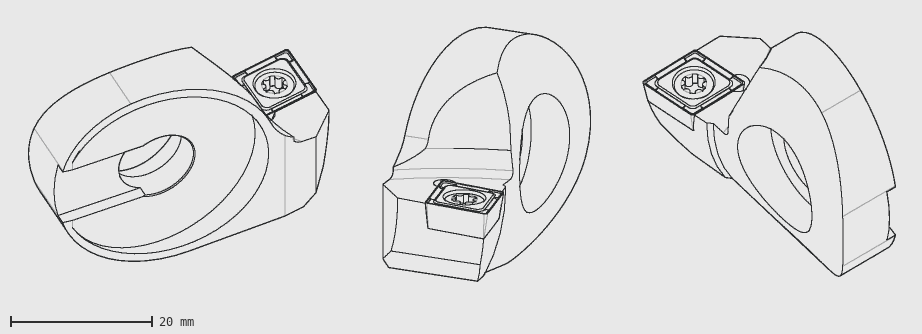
import cadquery as cq
import math


HUB_DIAMETER = 33.1
HUB_R = HUB_DIAMETER / 2
TURN_R = 21.0
TURN_Y = 5.35
BLEND_R = 14.95
FLANK_ANGLE = 11.8
NOSE_CUT_Y = 24.55
NECK_R = 6.75
NECK_START_ANGLE = 20.0

FACE_R = 30.0
STEP_Y = 14.07
STEP_WIDTH = 0.65
STEP_HEIGHT = 0.67
HEAD_SKEW = 10.0
BACK_X = 12.25
BACK_TILT = 8.8
HEAD_BACK_X = 14.95
BACK_CHAMFER_X = 4.15
BACK_CHAMFER_Y = 4.0
STOCK = 33.7

BORE_R = 5.48
BORE_CHAMFER = 0.15
COUNTERBORE_R = 8.5
COUNTERBORE_FLOOR_X = 6.0
RECESS_DIAMETER = 30.15
RECESS_FLOOR_X = 10.15
SLOT_WIDTH = 10.1
SLOT_FLOOR_X = 8.4

SEAT_TILT = 2.0
GULLET_WALL = [(-4.2, 9.55), (7.15, 13.7), (18.95, 22.4)]
GULLET_WALL_HEIGHT = 4.05
GULLET_LEAN = 21.8
GULLET_FILLET = 1.0

INSERT_IC = 9.52
INSERT_X = 2.53
INSERT_Y = 21.75
INSERT_TOP = 0.13
INSERT_THICKNESS = 3.95
INSERT_RELIEF = 7.0
CORNER_R = 0.4
CORNER_BOTTOM_R = 0.05
LAND = 0.15
GROOVE_DEPTH = 0.15
PLATEAU_FOOT = 0.93
PLATEAU_TOP = 1.2
PLATEAU_CORNER_R = 0.85
SCOOP_R = 0.4
SCOOP_OFFSET = 0.55
SCOOP_LENGTH = 5.2
CORNER_RELIEF_R = 1.6
CORNER_RELIEF_BOTTOM_R = 0.25
CORNER_RELIEF_X = 7.4
CORNER_RELIEF_Y = 17.75

SEAT_TOP_R = 3.05
SEAT_HALF_ANGLE = 30.0
SCREW_HEAD_R = 2.8
SCREW_CROWN = 0.2
SHANK_R = 1.75
SHANK_BELOW_INSERT = 3.8
SOCKET_R = 1.8
SOCKET_DEPTH = 1.7
LOBE_COUNT = 6
LOBE_R = 0.55
LOBE_START_ANGLE = 16.0

tan_skew = math.tan(math.radians(HEAD_SKEW))
insert_bottom = INSERT_TOP - INSERT_THICKNESS
flank_inset = INSERT_THICKNESS * math.tan(math.radians(INSERT_RELIEF))
seat_slope = math.tan(math.radians(SEAT_HALF_ANGLE))
screw_rim_z = INSERT_TOP - (SEAT_TOP_R - SCREW_HEAD_R) / seat_slope
seat_neck_z = INSERT_TOP - (SEAT_TOP_R - SHANK_R) / seat_slope


def to_seat(body):
    """Tilt a body from the level seat frame into its place in the part."""
    return body.rotate((0, 0, 0), (0, 1, 0), -SEAT_TILT)


def point_from(centre, radius, angle):
    return (centre[0] + radius * math.cos(angle), centre[1] + radius * math.sin(angle))


def mirror_z(point):
    return (point[0], -point[1])


def holder_outline():
    """Side outline in (Y, Z), extruded along X."""
    hub = (0.0, 0.0)
    turn = (TURN_Y, 0.0)

    hub_gap = HUB_R - BLEND_R
    turn_gap = TURN_R - BLEND_R
    blend_y = (hub_gap**2 - turn_gap**2 + TURN_Y**2) / (2 * TURN_Y)
    blend = (blend_y, math.sqrt(hub_gap**2 - blend_y**2))
    blend_angle = math.atan2(blend[1], blend[0])
    turn_angle = math.atan2(blend[1], blend[0] - TURN_Y)
    hub_end = point_from(hub, HUB_R, blend_angle)
    blend_mid = point_from(blend, BLEND_R, (blend_angle + turn_angle) / 2)
    turn_end = point_from(turn, TURN_R, turn_angle)

    neck_angle = math.radians(NECK_START_ANGLE)
    neck = point_from(hub, HUB_R + NECK_R, neck_angle)
    neck_start = point_from(hub, HUB_R, neck_angle)
    neck_mid = point_from(neck, NECK_R, (neck_angle + 2.5 * math.pi) / 2)
    neck_end = (neck[0], neck[1] - NECK_R)
    hub_top = point_from(hub, HUB_R, (neck_angle + blend_angle) / 2)

    nose_top_angle = math.asin(neck_end[1] / TURN_R)
    nose_cut_angle = -math.acos((NOSE_CUT_Y - TURN_Y) / TURN_R)
    nose_top = point_from(turn, TURN_R, nose_top_angle)
    nose_mid = point_from(turn, TURN_R, (nose_top_angle + nose_cut_angle) / 2)
    nose_cut = point_from(turn, TURN_R, nose_cut_angle)
    flank = math.radians(FLANK_ANGLE)
    cut_run = (HUB_R - nose_cut[0] * math.sin(flank) + nose_cut[1] * math.cos(flank)) / (
        math.cos(flank) - math.sin(flank))
    keel = (nose_cut[0] - cut_run, nose_cut[1] - cut_run)
    flank_angle = flank - math.pi / 2
    flank_end = point_from(hub, HUB_R, flank_angle)
    hub_bottom = point_from(hub, HUB_R, (flank_angle - blend_angle) / 2)

    return (
        cq.Workplane("YZ", origin=(-STOCK, 0, 0))
        .moveTo(*neck_start)
        .threePointArc(hub_top, hub_end)
        .threePointArc(blend_mid, turn_end)
        .threePointArc((TURN_Y - TURN_R, 0), mirror_z(turn_end))
        .threePointArc(mirror_z(blend_mid), mirror_z(hub_end))
        .threePointArc(hub_bottom, flank_end)
        .lineTo(*keel)
        .lineTo(*nose_cut)
        .threePointArc(nose_mid, nose_top)
        .lineTo(*neck_end)
        .threePointArc(neck_mid, neck_start)
        .close()
        .extrude(2 * STOCK)
    )


def curved_face_section(y, shift):
    """Section at one Y: the curved -X face moved by shift, closed far behind the part."""
    half = TURN_R
    edge_x = FACE_R - math.sqrt(FACE_R**2 - half**2) + shift
    return (
        cq.Workplane("XZ", origin=(0, y, 0))
        .moveTo(STOCK, -half)
        .lineTo(edge_x, -half)
        .threePointArc((shift, 0), (edge_x, half))
        .lineTo(STOCK, half)
        .close()
        .wires()
        .val()
    )


def curved_face_stock():
    """Material behind the -X face: straight over the hub, stepped out and skewed over the head."""
    step_end = STEP_Y + STEP_WIDTH
    head_shift = -STEP_HEIGHT - (STOCK - step_end) * tan_skew
    sections = [(-STOCK, 0.0), (STEP_Y, 0.0), (step_end, -STEP_HEIGHT), (STOCK, head_shift)]
    return cq.Workplane(cq.Solid.makeLoft([curved_face_section(*s) for s in sections], True))


def plan_stock():
    """Plan outline: tilted mounting face, flat head back and the chamfer at the nose."""
    slope = math.tan(math.radians(BACK_TILT))
    nose_y = TURN_Y + TURN_R
    return (
        cq.Workplane("XY", origin=(0, 0, -STOCK))
        .polyline([
            (-STOCK, -STOCK),
            (BACK_X - STOCK * slope, -STOCK),
            (HEAD_BACK_X, (HEAD_BACK_X - BACK_X) / slope),
            (HEAD_BACK_X, nose_y - BACK_CHAMFER_Y),
            (HEAD_BACK_X - BACK_CHAMFER_X, nose_y),
            (-STOCK, nose_y),
        ])
        .close()
        .extrude(2 * STOCK)
    )


def x_cylinder(radius, x_start):
    return cq.Workplane("YZ", origin=(x_start, 0, 0)).circle(radius).extrude(STOCK)


def hub_openings():
    bore = x_cylinder(BORE_R, 0)
    chamfer = cq.Workplane(cq.Solid.makeCone(
        BORE_R, BORE_R + BORE_CHAMFER, BORE_CHAMFER,
        cq.Vector(RECESS_FLOOR_X - BORE_CHAMFER, 0, 0), cq.Vector(1, 0, 0)))
    counterbore = x_cylinder(COUNTERBORE_R, COUNTERBORE_FLOOR_X - STOCK)
    recess = x_cylinder(RECESS_DIAMETER / 2, RECESS_FLOOR_X)
    slot = cq.Workplane("XY").box(STOCK, STOCK, SLOT_WIDTH, centered=(False, False, True))
    slot = slot.translate((SLOT_FLOOR_X, -STOCK, 0))
    return bore.union(chamfer).union(counterbore).union(recess).union(slot)


def gullet_plan(z, shift):
    start, middle, end = [(x, y - shift) for x, y in GULLET_WALL]
    return (
        cq.Workplane("XY", origin=(0, 0, z))
        .moveTo(*start)
        .threePointArc(middle, end)
        .lineTo(end[0], STOCK)
        .lineTo(start[0], STOCK)
        .close()
    )


def gullet():
    """Chip space above the insert: upright wall with a floor fillet, leaning back higher up."""
    lower = gullet_plan(0, 0).extrude(GULLET_WALL_HEIGHT)
    lower = lower.edges(cq.selectors.NearestToPointSelector((*GULLET_WALL[1], 0))).fillet(GULLET_FILLET)
    lean = (STOCK - GULLET_WALL_HEIGHT) * math.tan(math.radians(GULLET_LEAN))
    sections = [gullet_plan(GULLET_WALL_HEIGHT, 0), gullet_plan(STOCK, lean)]
    upper = cq.Solid.makeLoft([s.wires().val() for s in sections], True)
    return to_seat(lower.union(cq.Workplane(upper)))


def rhombus_corners(inset):
    """Corners of the insert's plan about its centre, moved in from the cutting edges by inset."""
    half = INSERT_IC / 2 - inset
    side = half / math.cos(math.radians(HEAD_SKEW))
    lean = half * tan_skew
    return [(-side - lean, half), (side - lean, half), (side + lean, -half), (lean - side, -half)]


def rhombus_wire(inset, z, corner_r):
    corners = rhombus_corners(inset)
    sketch = cq.Sketch().polygon(corners + corners[:1]).vertices().fillet(corner_r).reset()
    return sketch.faces().val().outerWire().translate(cq.Vector(INSERT_X, INSERT_Y, z))


def rhombus_frustum(bottom, top):
    """Solid between two rhombi, each given as (inset, z, corner radius)."""
    wires = [rhombus_wire(*bottom), rhombus_wire(*top)]
    return cq.Workplane(cq.Solid.makeLoft(wires, True))


def edge_scoops():
    """Rounded chip groove along the middle of each cutting edge."""
    corners = rhombus_corners(SCOOP_OFFSET)
    scoops = cq.Workplane("XY")
    for (x1, y1), (x2, y2) in zip(corners, corners[1:] + corners[:1]):
        along = cq.Vector(x2 - x1, y2 - y1, 0).normalized()
        middle = cq.Vector(INSERT_X + (x1 + x2) / 2, INSERT_Y + (y1 + y2) / 2, INSERT_TOP)
        start = middle - along * (SCOOP_LENGTH / 2)
        scoops = scoops.add(cq.Solid.makeCylinder(SCOOP_R, SCOOP_LENGTH, start, along))
    return scoops


def screw_space():
    """Countersink and clearance through the insert, running on as the holder's screw hole."""
    return (
        cq.Workplane("XZ")
        .polyline([
            (0, INSERT_TOP),
            (SEAT_TOP_R, INSERT_TOP),
            (SHANK_R, seat_neck_z),
            (SHANK_R, insert_bottom - SHANK_BELOW_INSERT),
            (0, insert_bottom - SHANK_BELOW_INSERT),
        ])
        .close()
        .revolve(360, (0, 0, 0), (0, 1, 0))
        .translate((INSERT_X, INSERT_Y, 0))
    )


def make_insert():
    groove_floor = INSERT_TOP - GROOVE_DEPTH
    body = rhombus_frustum((flank_inset, insert_bottom, CORNER_BOTTOM_R), (0, INSERT_TOP, CORNER_R))
    groove = rhombus_frustum(
        (LAND + GROOVE_DEPTH, groove_floor, CORNER_R), (LAND, INSERT_TOP, CORNER_R))
    plateau = rhombus_frustum(
        (PLATEAU_FOOT, groove_floor, PLATEAU_CORNER_R), (PLATEAU_TOP, INSERT_TOP, PLATEAU_CORNER_R))
    body = body.cut(groove.cut(plateau))
    for scoop in edge_scoops().vals():
        body = body.cut(cq.Workplane(scoop))
    return to_seat(body.cut(screw_space()))


def insert_pocket():
    """Seat for the insert: its two inner flanks and floor, open toward -X and +Y."""
    bottom = rhombus_corners(flank_inset)
    top = rhombus_corners(0)
    wires = []
    for corners, z in ((bottom, insert_bottom), (top, INSERT_TOP)):
        inner = corners[2]
        reach_x = corners[3][0] - INSERT_IC
        reach_y = corners[1][1] + INSERT_IC
        far_x = inner[0] - (reach_y - inner[1]) * tan_skew
        points = [inner, (far_x, reach_y), (reach_x, reach_y), (reach_x, inner[1])]
        wires.append(cq.Wire.makePolygon(
            [cq.Vector(INSERT_X + x, INSERT_Y + y, z) for x, y in points], close=True))
    return to_seat(cq.Workplane(cq.Solid.makeLoft(wires, True)))


def corner_relief():
    """Tapered hole that clears the insert's inner corner."""
    cone = cq.Solid.makeCone(CORNER_RELIEF_BOTTOM_R, CORNER_RELIEF_R, -insert_bottom)
    return to_seat(cq.Workplane(cone).translate((CORNER_RELIEF_X, CORNER_RELIEF_Y, insert_bottom)))


def make_holder():
    body = holder_outline().intersect(curved_face_stock()).intersect(plan_stock())
    body = body.cut(hub_openings()).cut(gullet())
    return body.cut(insert_pocket()).cut(corner_relief()).cut(to_seat(screw_space()))


def star_socket():
    socket_floor = screw_rim_z - SOCKET_DEPTH
    depth = SOCKET_DEPTH + SCREW_CROWN
    socket = cq.Workplane("XY", origin=(0, 0, socket_floor)).circle(SOCKET_R).extrude(depth)
    lobes = (
        cq.Workplane("XY", origin=(0, 0, socket_floor))
        .polarArray(SOCKET_R, LOBE_START_ANGLE, 360, LOBE_COUNT)
        .circle(LOBE_R)
        .extrude(depth)
    )
    return socket.cut(lobes)


def make_screw():
    tip_z = insert_bottom - SHANK_BELOW_INSERT
    crown_z = screw_rim_z + SCREW_CROWN
    body = (
        cq.Workplane("XZ")
        .moveTo(0, tip_z)
        .lineTo(SHANK_R, tip_z)
        .lineTo(SHANK_R, seat_neck_z)
        .lineTo(SCREW_HEAD_R, screw_rim_z)
        .lineTo(SOCKET_R, crown_z)
        .lineTo(0, crown_z)
        .close()
        .revolve(360, (0, 0, 0), (0, 1, 0))
    )
    return to_seat(body.cut(star_socket()).translate((INSERT_X, INSERT_Y, 0)))


holder = make_holder()
insert = make_insert()
screw = make_screw()
result = cq.Compound.makeCompound([holder.val(), insert.val(), screw.val()])